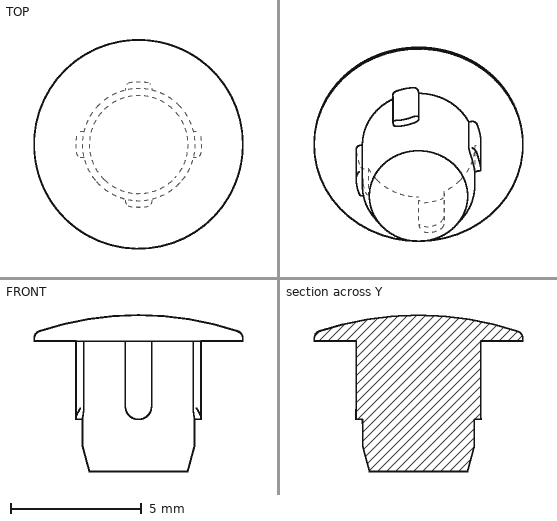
import cadquery as cq
import math

total_height = 6.0
head_diameter = 8.0
head_underside_z = 5.0
dome_radius = 12.0
rim_fillet = 0.3

shaft_diameter = 4.3
tip_height = 1.0
tip_taper_angle = 15.0

rib_count = 4
rib_width = 1.0
rib_outer_diameter = 4.8
rib_bottom_z = 2.0
rib_edge_fillet = 0.2


def make_head():
    head_radius = head_diameter / 2
    dome_center_z = total_height - dome_radius
    rim_top_z = dome_center_z + math.sqrt(dome_radius**2 - head_radius**2)
    half_rim_angle = math.asin(head_radius / dome_radius) / 2
    dome_middle = (
        dome_radius * math.sin(half_rim_angle),
        dome_center_z + dome_radius * math.cos(half_rim_angle),
    )
    head = (
        cq.Workplane("XZ")
        .moveTo(0, head_underside_z)
        .lineTo(head_radius, head_underside_z)
        .lineTo(head_radius, rim_top_z)
        .threePointArc(dome_middle, (0, total_height))
        .close()
        .revolve(360, (0, 0), (0, 1))
    )
    return head.faces("%CYLINDER").edges(">Z").fillet(rim_fillet)


def make_shaft():
    shaft_radius = shaft_diameter / 2
    tip_radius = shaft_radius - tip_height * math.tan(math.radians(tip_taper_angle))
    return (
        cq.Workplane("XZ")
        .polyline([
            (0, 0),
            (tip_radius, 0),
            (shaft_radius, tip_height),
            (shaft_radius, head_underside_z),
            (0, head_underside_z),
        ])
        .close()
        .revolve(360, (0, 0), (0, 1))
    )


def make_rib():
    """Rib on the +X side: rounded outer edges and a semicircular lower end."""
    outer_radius = rib_outer_diameter / 2
    height = head_underside_z - rib_bottom_z
    half_width = rib_width / 2
    end_center_z = rib_bottom_z + half_width

    bar = (
        cq.Workplane("XY")
        .box(rib_outer_diameter, rib_width, height, centered=(False, True, False))
        .translate((0, 0, rib_bottom_z))
    )
    cylinder = (
        cq.Workplane("XY")
        .workplane(offset=rib_bottom_z)
        .circle(outer_radius)
        .extrude(height)
    )
    bar = bar.intersect(cylinder).edges("|Z and (not <X)").fillet(rib_edge_fillet)

    rounded_end = (
        cq.Workplane("YZ")
        .moveTo(-half_width, head_underside_z)
        .lineTo(-half_width, end_center_z)
        .threePointArc((0, rib_bottom_z), (half_width, end_center_z))
        .lineTo(half_width, head_underside_z)
        .close()
        .extrude(rib_outer_diameter)
    )
    return bar.intersect(rounded_end)


result = make_shaft().union(make_head())
rib = make_rib()
for index in range(rib_count):
    angle = index * 360 / rib_count
    result = result.union(rib.rotate((0, 0, 0), (0, 0, 1), angle))